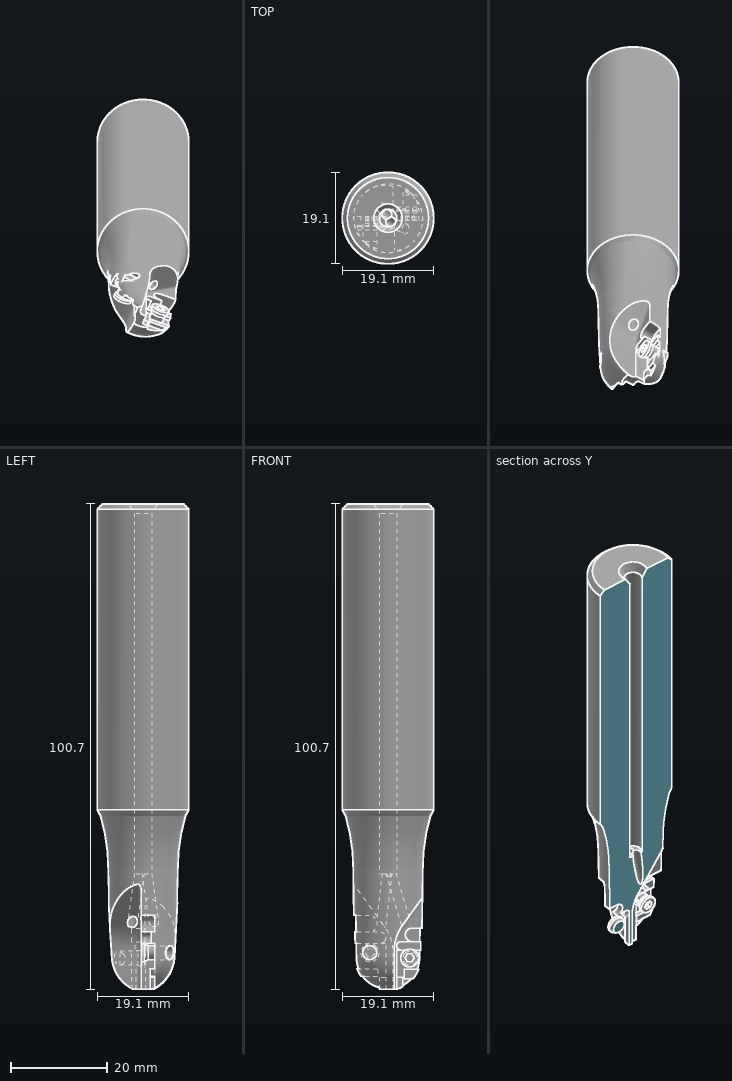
import cadquery as cq
import math

overall_length = 100.7
shank_diameter = 19.05
shank_radius = shank_diameter / 2
shank_chamfer = 1.1
shank_bottom_z = 37.2
collar_radius = 8.85
collar_bottom_z = 36.0
neck_radius = 7.25
blend_bottom_z = 25.0
blend_land = 0.6
nose_radius = 7.0
nose_center_z = 6.6
tip_flat_radius = math.sqrt(nose_radius**2 - nose_center_z**2)

bore_diameter = 3.7
bore_mouth_diameter = 5.9
bore_mouth_half_angle = 30.0
bore_bottom_z = 24.0
branch_diameter = 2.0
branch_outlet_y = -2.2
branch_outlet_z = 14.0

flute_arc_radius = 9.0
flute_floor_y = -0.4
flute_exit_angle = 36.0
flute_fillet = 0.75
seat_floor_y = 2.4
step_floor_y = 1.7
notch_inset = 1.8
key_inset = 1.6
key_top_y = 1.5
corner_block_width = 1.3
corner_block_height = 2.5
corner_block_round = 0.6
clear = 20.0

relief_radius = 7.95
relief_tilt = 2.9
relief_center_y = 1.35
relief_center_z = 7.1

head_diameter = 3.7
head_top_y = -0.3
head_rim_height = 0.6
head_cone_height = 0.8
thread_diameter = 2.9
thread_end_y = 4.8
socket_diameter = 1.9
socket_depth = 0.8

short_side = dict(turn=0, screw_x=4.5, screw_z=6.5, step_bottom=8.1, step_top=9.9, notch_top=12.7,
                  key_bottom=2.2, key_top=4.2, flute_wall_x=1.3, arc_start_z=8.0,
                  seat_wall_x=1.8, branch_outlet_x=3.6)
long_side = dict(turn=180, screw_x=3.8, screw_z=7.6, step_bottom=9.6, step_top=11.9, notch_top=15.4,
                 key_bottom=2.7, key_top=4.3, flute_wall_x=-1.0, arc_start_z=7.7,
                 seat_wall_x=0.5, branch_outlet_x=1.4)
sides = [short_side, long_side]


def turned(shape, side):
    """Move a shape modelled on the +X cutting side to its own side of the tool."""
    return shape.rotate((0, 0, 0), (0, 0, 1), side["turn"])


def box(x_min, x_max, y_min, y_max, z_min, z_max):
    size = (x_max - x_min, y_max - y_min, z_max - z_min)
    return cq.Workplane("XY").box(*size, centered=False).translate((x_min, y_min, z_min))


def rod(diameter, x, z, y_start, y_end):
    """Cylinder along +Y."""
    plane = cq.Plane(origin=(x, y_start, z), xDir=(1, 0, 0), normal=(0, 1, 0))
    return cq.Workplane(plane).circle(diameter / 2).extrude(y_end - y_start)


def body_blank():
    """Turned shank, concave neck blend, slightly tapered neck and ball nose."""
    drop = collar_bottom_z - blend_bottom_z
    flare = collar_radius - neck_radius
    blend_radius = (drop**2 + flare**2) / (2 * flare)
    middle_z = blend_bottom_z + drop / 2
    middle_r = neck_radius + blend_radius - math.sqrt(blend_radius**2 - (drop / 2) ** 2)
    nose_middle = nose_radius * math.sqrt(0.5)
    return (
        cq.Workplane("XZ")
        .moveTo(0, 0)
        .lineTo(tip_flat_radius, 0)
        .threePointArc((nose_middle, nose_center_z - nose_middle), (nose_radius, nose_center_z))
        .lineTo(neck_radius, blend_bottom_z - blend_land)
        .lineTo(neck_radius, blend_bottom_z)
        .threePointArc((middle_r, middle_z), (collar_radius, collar_bottom_z))
        .lineTo(shank_radius, shank_bottom_z)
        .lineTo(shank_radius, overall_length - shank_chamfer)
        .lineTo(shank_radius - shank_chamfer, overall_length)
        .lineTo(0, overall_length)
        .close()
        .revolve(360, (0, 0, 0), (0, 1, 0))
    )


def coolant_bore():
    """Axial bore with a countersunk mouth."""
    mouth_depth = (bore_mouth_diameter - bore_diameter) / 2 / math.tan(math.radians(bore_mouth_half_angle))
    return (
        cq.Workplane("XZ")
        .moveTo(0, bore_bottom_z)
        .lineTo(bore_diameter / 2, bore_bottom_z)
        .lineTo(bore_diameter / 2, overall_length - mouth_depth)
        .lineTo(bore_mouth_diameter / 2, overall_length)
        .lineTo(0, overall_length)
        .close()
        .revolve(360, (0, 0, 0), (0, 1, 0))
    )


def coolant_branch(side):
    """Slanted channel from the foot of the bore to the flute wall."""
    start = cq.Vector(0, -branch_diameter / 4, bore_bottom_z + branch_diameter)
    end = cq.Vector(side["branch_outlet_x"], branch_outlet_y, branch_outlet_z)
    axis = end - start
    length = axis.Length + branch_diameter / 2
    return cq.Workplane(cq.Solid.makeCylinder(branch_diameter / 2, length, start, axis))


def relief_cut():
    """Everything outside a tilted, round-ended cylinder on the -Y half of the nose."""
    center = (0, relief_center_y, relief_center_z)
    keep = (
        cq.Workplane("XY")
        .circle(relief_radius)
        .extrude(clear)
        .union(cq.Workplane("XY").sphere(relief_radius))
        .rotate((0, 0, 0), (1, 0, 0), relief_tilt)
        .translate(center)
    )
    return box(-clear, clear, -clear, 0, 0, clear).cut(keep)


def flute_cut(side):
    """Chip flute: straight wall, then an arc running out to the outside at an angle."""
    angle = math.radians(flute_exit_angle)
    radius = flute_arc_radius
    wall_x = side["flute_wall_x"]
    start_z = side["arc_start_z"]

    def arc_point(a):
        return (wall_x + radius * (1 - math.cos(a)), start_z + radius * math.sin(a))

    arc_end = arc_point(angle)
    exit_z = arc_end[1] + (clear - arc_end[0]) / math.tan(angle)
    cutter = (
        cq.Workplane("XZ", origin=(0, flute_floor_y, 0))
        .moveTo(wall_x, -clear)
        .lineTo(wall_x, start_z)
        .threePointArc(arc_point(angle / 2), arc_end)
        .lineTo(clear, exit_z)
        .lineTo(clear, -clear)
        .close()
        .extrude(clear)
    )
    floor_edges = cutter.faces(">Y").edges("not(|X)").edges("not(>X)")
    return floor_edges.fillet(flute_fillet)


def round_ended_pocket(x_min, z_min, z_max, floor_y):
    """Slot open toward +X whose inner end is a half round."""
    radius = (z_max - z_min) / 2
    start_y = flute_floor_y - flute_fillet
    slot = box(x_min + radius, clear, start_y, floor_y, z_min, z_max)
    return slot.union(rod(2 * radius, x_min + radius, z_min + radius, start_y, floor_y))


def seat_cut(side):
    """Insert seat with an upper step and notch, less the locating key and the corner block."""
    top_y = flute_floor_y - flute_fillet
    seat_wall_x = side["seat_wall_x"]
    key_x = seat_wall_x + key_inset
    seat = box(seat_wall_x, clear, top_y, seat_floor_y, -clear, side["step_bottom"])
    step = round_ended_pocket(seat_wall_x, side["step_bottom"], side["step_top"], step_floor_y)
    notch = round_ended_pocket(seat_wall_x + notch_inset, side["step_top"], side["notch_top"], seat_floor_y)
    key = box(key_x, clear, key_top_y, seat_floor_y, side["key_bottom"], side["key_top"])
    block_x = seat_wall_x + corner_block_width
    block = box(seat_wall_x, block_x, key_top_y, seat_floor_y, -clear, corner_block_height)
    block = block.edges("|Z and >X and <Y").fillet(corner_block_round)
    return seat.union(step).union(notch).cut(key).cut(block)


def clamping_screw(side):
    """Countersunk screw along Y with a hexagonal socket."""
    cone_top_y = head_top_y + head_rim_height
    cone_bottom_y = cone_top_y + head_cone_height
    profile = (
        cq.Workplane("XY")
        .moveTo(0, head_top_y)
        .lineTo(head_diameter / 2, head_top_y)
        .lineTo(head_diameter / 2, cone_top_y)
        .lineTo(thread_diameter / 2, cone_bottom_y)
        .lineTo(thread_diameter / 2, thread_end_y)
        .lineTo(0, thread_end_y)
        .close()
    )
    screw = profile.revolve(360, (0, 0, 0), (0, 1, 0))
    plane = cq.Plane(origin=(0, head_top_y, 0), xDir=(1, 0, 0), normal=(0, 1, 0))
    socket = cq.Workplane(plane).polygon(6, socket_diameter).extrude(socket_depth)
    screw = screw.cut(socket).translate((side["screw_x"], 0, side["screw_z"]))
    return turned(screw, side)


holder = body_blank().cut(coolant_bore())
for side in sides:
    screw_hole = rod(thread_diameter, side["screw_x"], side["screw_z"], flute_floor_y, clear)
    for cutter in (relief_cut(), flute_cut(side), seat_cut(side), coolant_branch(side), screw_hole):
        holder = holder.cut(turned(cutter, side))

screws = [clamping_screw(side) for side in sides]

result = cq.Compound.makeCompound([holder.val(), *[screw.val() for screw in screws]])